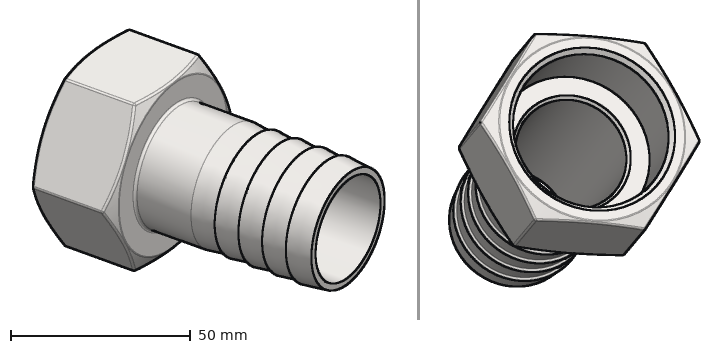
import cadquery as cq
import math

total_length = 87.0

hex_across_flats = 55.0
hex_length = 28.0
hex_edge_radius = 0.8
end_face_radius = 26.8
end_cone_angle = 24.0

thread_core_radius = 22.42
thread_mouth_radius = 23.9
thread_depth = 22.0
through_bore_radius = 16.0
through_bore_chamfer = 1.0

tail_radius = 19.0
tail_root_fillet = 0.8
barb_count = 5
barb_pitch = 8.0
barb_drop = 0.9
barb_root_fillet = 0.5


def revolve_about_x(profile):
    """Turn a closed profile, drawn as X and radius, about the X axis."""
    return profile.close().revolve(360, (0, 0, 0), (1, 0, 0))


def hexagon_end():
    across_corners = hex_across_flats / math.cos(math.pi / 6)
    prism = (
        cq.Workplane("YZ")
        .polygon(6, across_corners)
        .extrude(hex_length)
        .edges("|X")
        .fillet(hex_edge_radius)
    )
    envelope_radius = across_corners / 2
    cone_length = (envelope_radius - end_face_radius) * math.tan(math.radians(end_cone_angle))
    envelope = revolve_about_x(
        cq.Workplane("XY")
        .lineTo(0, end_face_radius)
        .lineTo(cone_length, envelope_radius)
        .lineTo(hex_length - cone_length, envelope_radius)
        .lineTo(hex_length, end_face_radius)
        .lineTo(hex_length, 0)
    )
    envelope = envelope.faces("<X or >X").edges().fillet(hex_edge_radius)
    body = prism.intersect(envelope)
    curved_edges = [edge for edge in body.edges().vals() if edge.geomType() not in ("LINE", "CIRCLE")]
    return body.newObject(curved_edges).fillet(hex_edge_radius)


def hose_tail():
    barbs_start = total_length - barb_count * barb_pitch
    profile = (
        cq.Workplane("XY")
        .moveTo(hex_length, 0)
        .lineTo(hex_length, tail_radius + tail_root_fillet)
        .radiusArc((hex_length + tail_root_fillet, tail_radius), -tail_root_fillet)
        .lineTo(barbs_start, tail_radius)
    )
    valley_radius = tail_radius - barb_drop
    for barb in range(barb_count):
        barb_end = barbs_start + (barb + 1) * barb_pitch
        if barb == barb_count - 1:
            profile = profile.lineTo(barb_end, valley_radius)
        else:
            profile = profile.lineTo(barb_end - barb_root_fillet, valley_radius)
            profile = profile.radiusArc(
                (barb_end, valley_radius + barb_root_fillet), -barb_root_fillet
            )
            profile = profile.lineTo(barb_end, tail_radius)
    return revolve_about_x(profile.lineTo(total_length, 0))


def bores():
    mouth_chamfer = thread_mouth_radius - thread_core_radius
    return revolve_about_x(
        cq.Workplane("XY")
        .lineTo(0, thread_mouth_radius)
        .lineTo(mouth_chamfer, thread_core_radius)
        .lineTo(thread_depth, thread_core_radius)
        .lineTo(thread_depth, through_bore_radius + through_bore_chamfer)
        .lineTo(thread_depth + through_bore_chamfer, through_bore_radius)
        .lineTo(total_length, through_bore_radius)
        .lineTo(total_length, 0)
    )


result = hexagon_end().union(hose_tail()).cut(bores())